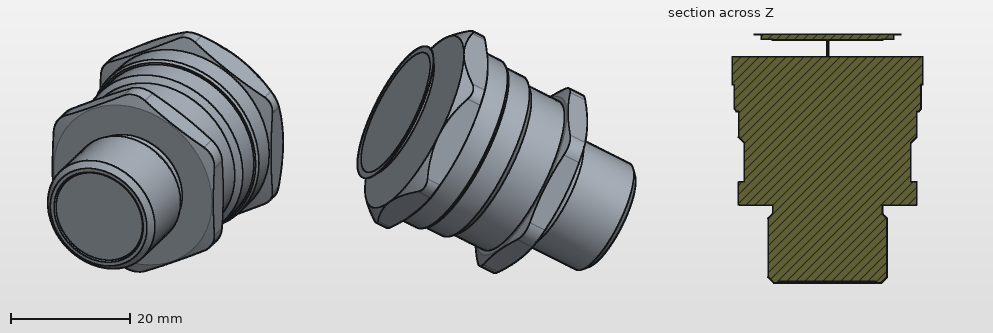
import cadquery as cq
import math

overall_length = 41.75

thread_diameter = 20.0
undercut_diameter = 18.5
tip_chamfer = 1.0
thread_end = 10.85
undercut_start = thread_end + (thread_diameter - undercut_diameter) / 2
entry_radius = 8.3
entry_floor_radius = 8.05
entry_depth = entry_radius - entry_floor_radius

front_nut_start = 13.07
front_nut_end = 17.05
front_nut_flats = 30.0
front_nut_corner_radius = 4.0
front_nut_face_radius = 14.75
front_nut_bevel = 0.63

body_diameter = 28.0
shoulder_diameter = 30.0
collar_diameter = 31.4
shoulder_start = 24.5
shoulder_cone_start = shoulder_start - (shoulder_diameter - body_diameter) / 2
collar_start = 29.3
collar_chamfer_width = 0.5
collar_chamfer_height = 0.38

rear_nut_start = 33.2
rear_nut_end = 38.0
rear_nut_flats = 32.0
rear_nut_corner_radius = 3.0
rear_nut_front_bevel = 0.75
rear_nut_rear_bevel = 2.0

rim_diameter = 24.55
rim_thickness = 0.1
cap_diameter = 22.3
cap_start = 40.9
boss_diameter = undercut_diameter
boss_height = 0.13
stem_diameter = 0.4
joint_overlap = 0.4


def revolve_profile(points):
    """Revolve (radius, y) points about the Y axis."""
    return cq.Workplane("XY").polyline(points).close().revolve(360, (0, 0, 0), (0, 1, 0))


def disc(diameter, start, end):
    radius = diameter / 2
    return revolve_profile([(0, start), (radius, start), (radius, end), (0, end)])


def hex_nut(flats, corner_radius, start, end, front_radius, front_bevel, rear_radius, rear_bevel):
    """Hexagon with corners on Z, rounded edges and both ends turned to a cone."""
    vertex_radius = flats / math.sqrt(3)
    corner_reach = vertex_radius - corner_radius * (2 / math.sqrt(3) - 1)
    corners = [
        (vertex_radius * math.sin(math.radians(angle)), vertex_radius * math.cos(math.radians(angle)))
        for angle in range(0, 360, 60)
    ]
    prism = (
        cq.Workplane("XZ", origin=(0, end, 0))
        .polyline(corners)
        .close()
        .extrude(end - start)
        .edges("|Y")
        .fillet(corner_radius)
    )
    past_corner = vertex_radius - corner_reach
    front_slope = front_bevel / (corner_reach - front_radius)
    rear_slope = rear_bevel / (corner_reach - rear_radius)
    envelope = revolve_profile([
        (0, start),
        (front_radius, start),
        (vertex_radius, start + front_bevel + front_slope * past_corner),
        (vertex_radius, end - rear_bevel - rear_slope * past_corner),
        (rear_radius, end),
        (0, end),
    ])
    return prism.intersect(envelope)


def turned_body():
    thread_radius = thread_diameter / 2
    undercut_radius = undercut_diameter / 2
    body_radius = body_diameter / 2
    shoulder_radius = shoulder_diameter / 2
    collar_radius = collar_diameter / 2
    body_end = rear_nut_start + joint_overlap
    return revolve_profile([
        (0, entry_depth),
        (entry_floor_radius, entry_depth),
        (entry_radius, 0),
        (thread_radius - tip_chamfer, 0),
        (thread_radius, tip_chamfer),
        (thread_radius, thread_end),
        (undercut_radius, undercut_start),
        (undercut_radius, front_nut_start + joint_overlap),
        (body_radius, front_nut_start + joint_overlap),
        (body_radius, shoulder_cone_start),
        (shoulder_radius, shoulder_start),
        (shoulder_radius, collar_start - collar_chamfer_width),
        (collar_radius - collar_chamfer_height, collar_start - collar_chamfer_width),
        (collar_radius, collar_start),
        (collar_radius, body_end),
        (0, body_end),
    ])


def end_cap():
    rim = disc(rim_diameter, overall_length - rim_thickness, overall_length)
    cap = disc(cap_diameter, cap_start, overall_length)
    boss = disc(boss_diameter, cap_start - boss_height, overall_length)
    stem = disc(stem_diameter, rear_nut_end - joint_overlap, overall_length)
    return rim.union(cap).union(boss).union(stem)


front_nut = hex_nut(
    front_nut_flats, front_nut_corner_radius, front_nut_start, front_nut_end,
    front_nut_face_radius, front_nut_bevel, front_nut_face_radius, front_nut_bevel,
)
rear_nut = hex_nut(
    rear_nut_flats, rear_nut_corner_radius, rear_nut_start, rear_nut_end,
    collar_diameter / 2, rear_nut_front_bevel, rear_nut_flats / 2, rear_nut_rear_bevel,
)
result = turned_body().union(front_nut).union(rear_nut).union(end_cap())